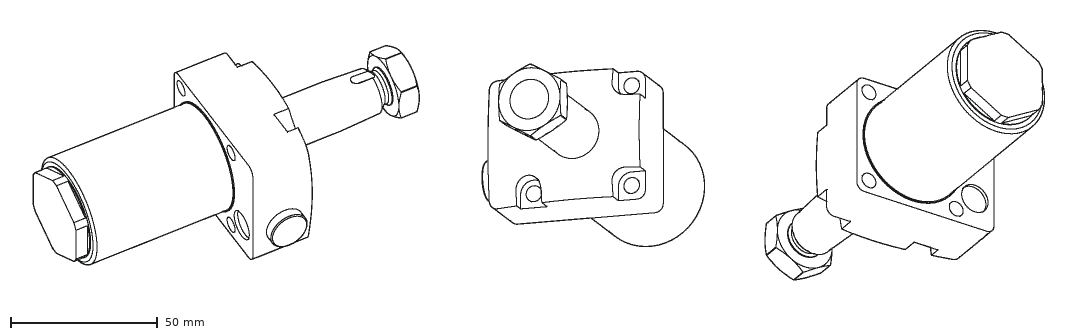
import cadquery as cq
import math


block_left = 22.5
block_right = 32.8
block_height = 45.0
block_depth = 29.0
corner_radius = 3.0
crown_radius = 11.3
crown_slope = 15.0

screw_offset = 17.5
screw_hole_dia = 5.6
screw_seat_radius = 4.8
screw_seat_y = 19.3

face_port_x = 25.0
face_port_z = -11.0
face_port_dia = 10.6
face_port_depth = 1.4

collar_radius = 20.0
collar_length = 0.4
sleeve_radius = 19.6
sleeve_length = 54.1
sleeve_chamfer_length = 0.8
sleeve_chamfer_depth = 1.4
end_hex_flats = 30.0
end_hex_radius = 16.6
end_hex_shoulder = 0.4
total_length = 136.0
nut_face_y = 77.0
housing_end_y = nut_face_y - total_length

rod_radius = 9.0
rod_nose_radius = 8.3
taper_start_y = 48.8
taper_end_y = 63.9
neck_start_y = 66.4
neck_end_y = 67.7
neck_radius = 6.1
stud_radius = 7.0
stud_chamfer = stud_radius - neck_radius

groove_radius = 1.9
groove_axis_z = 8.8
groove_ball_y = 58.3

nut_flats = 22.0
nut_thickness = 8.0
nut_corner_radius = 12.6
nut_face_radius = nut_flats / 2
nut_chamfer_angle = 30.0

plug_radius = 7.1
plug_length = 3.5
plug_chamfer = 0.4
plug_y = 12.4
plug_z = -10.0


def revolve_about_y(points):
    """Turn a closed (radius, y) outline about the Y axis."""
    return cq.Workplane("XY").polyline(points).close().revolve(360, (0, 0, 0), (0, 1, 0))


def rod_along_y(radius, y_start, y_end, x=0.0, z=0.0):
    """Round bar parallel to Y."""
    axis_start = cq.Vector(x, y_start, z)
    return cq.Workplane(cq.Solid.makeCylinder(radius, y_end - y_start, axis_start, cq.Vector(0, 1, 0)))


def hex_along_y(flats, y_start, y_end):
    """Hexagonal bar on the Y axis with corners at +Z and -Z and flats at +X and -X."""
    corner_dia = flats / math.cos(math.radians(30))
    return (
        cq.Workplane("XZ", origin=(0, y_start, 0))
        .transformed(rotate=(0, 0, 90))
        .polygon(6, corner_dia)
        .extrude(-(y_end - y_start))
    )


def box_between(x_range, y_range, z_range):
    """Axis-aligned box given by its limits."""
    corner = cq.Vector(x_range[0], y_range[0], z_range[0])
    size = (x_range[1] - x_range[0], y_range[1] - y_range[0], z_range[1] - z_range[0])
    return cq.Workplane(cq.Solid.makeBox(*size, corner))


def make_block():
    """Rectangular flange with rounded edges and a conical back face."""
    half_height = block_height / 2
    block = box_between((-block_left, block_right), (0, block_depth), (-half_height, half_height))
    block = block.edges("|Y").fillet(corner_radius)
    base_radius = block_left + block_right
    base_y = block_depth - (base_radius - crown_radius) * math.tan(math.radians(crown_slope))
    envelope = revolve_about_y(
        [(0, 0), (base_radius, 0), (base_radius, base_y), (crown_radius, block_depth), (0, block_depth)]
    )
    return block.intersect(envelope)


def make_screw_cut(x_side, z_side):
    """Through hole with a round seat that opens to the outside of the block."""
    x = x_side * screw_offset
    z = z_side * screw_offset
    seat_y = (screw_seat_y, block_depth)
    z_open = sorted((z, z_side * block_height))
    x_across = (x - screw_seat_radius, x + screw_seat_radius)
    hole = rod_along_y(screw_hole_dia / 2, 0, block_depth, x, z)
    cut = hole.union(rod_along_y(screw_seat_radius, *seat_y, x, z))
    cut = cut.union(box_between(x_across, seat_y, z_open))
    if x_side < 0:
        z_inner = z - z_side * screw_seat_radius
        z_span = sorted((z_inner, z_side * block_height))
        cut = cut.union(box_between((-2 * block_left, x), seat_y, z_span))
    return cut


def make_sleeve():
    """Cylinder sleeve with its locating collar and hexagonal end."""
    end_y = -sleeve_length
    sleeve = revolve_about_y(
        [
            (0, 0),
            (collar_radius, 0),
            (collar_radius, -collar_length),
            (sleeve_radius, -collar_length),
            (sleeve_radius, end_y + sleeve_chamfer_length),
            (sleeve_radius - sleeve_chamfer_depth, end_y),
            (0, end_y),
        ]
    )
    shoulder_y = end_y - end_hex_shoulder
    shoulder = rod_along_y(end_hex_radius, shoulder_y, end_y)
    end_hex = hex_along_y(end_hex_flats, housing_end_y, shoulder_y)
    end_hex = end_hex.intersect(rod_along_y(end_hex_radius, housing_end_y, shoulder_y))
    return sleeve.union(shoulder).union(end_hex)


def make_housing():
    """Flange block and sleeve in one piece, with the rod bore and the ports."""
    housing = make_block()
    for x_side in (-1, 1):
        for z_side in (-1, 1):
            housing = housing.cut(make_screw_cut(x_side, z_side))
    housing = housing.union(make_sleeve())
    housing = housing.cut(rod_along_y(rod_radius, 0, block_depth))
    return housing.cut(rod_along_y(face_port_dia / 2, 0, face_port_depth, face_port_x, face_port_z))


def make_rod():
    """Piston rod with a tapered nose, an undercut neck and a stud for the nut."""
    rod = revolve_about_y(
        [
            (0, 0),
            (rod_radius, 0),
            (rod_radius, taper_start_y),
            (rod_nose_radius, taper_end_y),
            (neck_radius, neck_start_y),
            (neck_radius, neck_end_y),
            (stud_radius, neck_end_y + stud_chamfer),
            (stud_radius, nut_face_y),
            (0, nut_face_y),
        ]
    )
    groove = rod_along_y(groove_radius, groove_ball_y, neck_end_y, 0, groove_axis_z)
    ball = cq.Workplane("XY").sphere(groove_radius).translate((0, groove_ball_y, groove_axis_z))
    return rod.cut(groove).cut(ball)


def make_nut():
    """Hexagon nut, chamfered on both faces, bored for the stud."""
    seat_y = nut_face_y - nut_thickness
    drop = (nut_corner_radius - nut_face_radius) * math.tan(math.radians(nut_chamfer_angle))
    envelope = revolve_about_y(
        [
            (stud_radius, seat_y),
            (nut_face_radius, seat_y),
            (nut_corner_radius, seat_y + drop),
            (nut_corner_radius, nut_face_y - drop),
            (nut_face_radius, nut_face_y),
            (stud_radius, nut_face_y),
        ]
    )
    return hex_along_y(nut_flats, seat_y, nut_face_y).intersect(envelope)


def make_side_plug():
    """Round plug seated on the +X side of the block."""
    return (
        cq.Workplane("YZ", origin=(block_right, plug_y, plug_z))
        .circle(plug_radius)
        .extrude(plug_length)
        .faces(">X")
        .chamfer(plug_chamfer)
    )


housing = make_housing()
rod = make_rod()
nut = make_nut()
side_plug = make_side_plug()

bodies = [housing, rod, nut, side_plug]
result = cq.Compound.makeCompound([body.solids().val() for body in bodies])